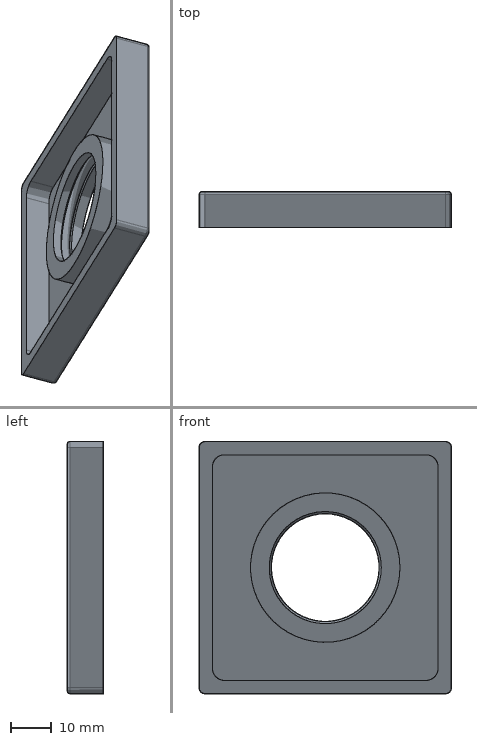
import cadquery as cq

side = 62.2
depth = 8.9
corner_radius = 1.5
back_edge_round = 0.75

rim_width = 3.3
pocket_depth = 6.0
pocket_corner_radius = 3.0

boss_radius = 18.4
boss_recess = 1.5
bore_radius = 13.8

groove_start = 3.5
groove_width = 2.85

ring_section_radius = 1.0
ring_protrusion = 0.55
ring_center_radius = bore_radius - ring_protrusion + ring_section_radius
ring_y = groove_start + groove_width / 2
groove_radius = ring_center_radius + ring_section_radius


def disc(radius, y_start, length):
    """Cylinder along +Y, starting at y_start."""
    plane = cq.Workplane("XZ", origin=(0, y_start, 0))
    return plane.circle(radius).extrude(-length)


def rounded_square(width, height, radius):
    """Square block from the rim face toward +Y with rounded corners."""
    block = cq.Workplane("XZ").rect(width, width).extrude(-height)
    return block.edges("|Y").fillet(radius)


def make_housing():
    plate = rounded_square(side, depth, corner_radius)
    plate = plate.faces(">Y").edges().fillet(back_edge_round)
    pocket_width = side - 2 * rim_width
    pocket = rounded_square(pocket_width, pocket_depth, pocket_corner_radius)
    boss = disc(boss_radius, boss_recess, depth - boss_recess - back_edge_round)
    bore = disc(bore_radius, 0, depth)
    groove = disc(groove_radius, groove_start, groove_width)
    return plate.cut(pocket).union(boss).cut(bore).cut(groove)


def make_seal_ring():
    """Torus around the bore axis."""
    return cq.Solid.makeTorus(
        ring_center_radius,
        ring_section_radius,
        cq.Vector(0, ring_y, 0),
        cq.Vector(0, 1, 0),
    )


housing = make_housing()
seal_ring = make_seal_ring()

result = cq.Compound.makeCompound([housing.val(), seal_ring])